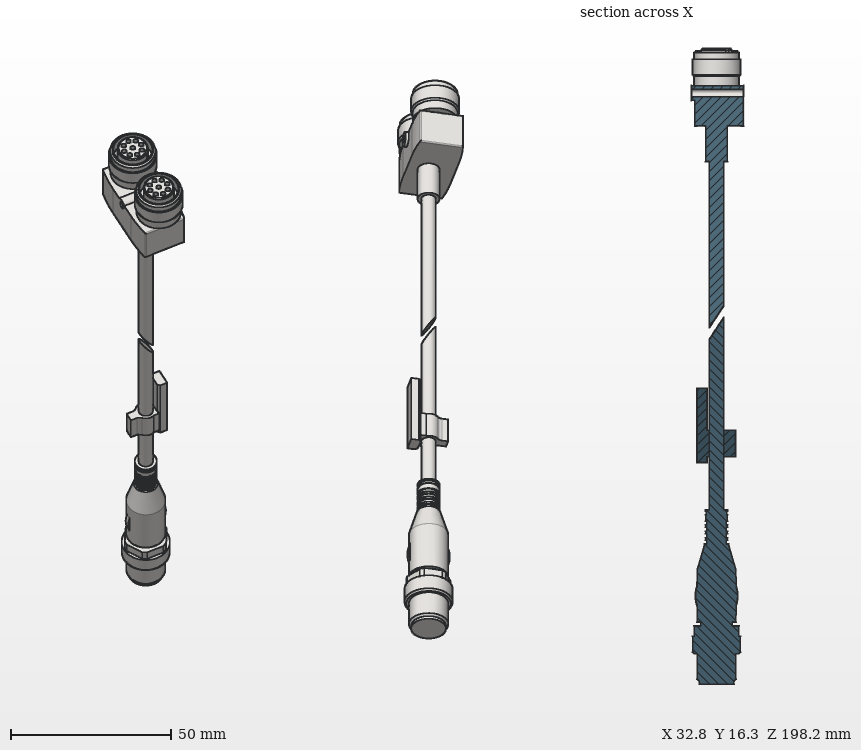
import cadquery as cq
import math

CABLE_D = 4.5
CUT_RISE = 7.0
CUT_GAP = 3.5
LOWER_CUT_MID_Z = 111.0

TOP_Z = 198.2
BLOCK_L = 29.3
BLOCK_BOTTOM_Z = 174.0
BLOCK_TOP_Z = 186.0
BLOCK_FLAT_L = 12.5
BLOCK_BOW = 0.8
BLOCK_END_FILLET = 0.4
COLLAR_D = 7.0
COLLAR_L = 11.1
BOSS_D = 4.8
BOSS_HOLE_D = 2.2
BOSS_Z = 184.3

SOCKET_PITCH = 17.8
NUT_D = 14.0
NUT_RING_D = 15.0
NUT_BORE_D = 12.0
NUT_BOTTOM_Z = 186.5
NUT_TOP_Z = 197.5
NUT_CHAMFER = 0.5
RING_BOTTOM_Z = 189.5
RING_TOP_Z = 194.8
RECESS_DEPTH = 4.0
INSERT_D = 9.5
INSERT_CHAMFER = 0.4
CONTACT_D = 1.5
CONTACT_CIRCLE_D = 6.0
CONTACT_COUNT = 8
CONTACT_DEPTH = 3.0
KEYWAY_D = 1.2

SPLITTER_DEPTH = 16.3
FRONT_OVERHANG = 0.9
BOSS_STANDOUT = 1.0
BLOCK_FRONT_Y = -(NUT_RING_D / 2 + FRONT_OVERHANG)
BOSS_BACK_Y = BLOCK_FRONT_Y + SPLITTER_DEPTH
BLOCK_BACK_Y = BOSS_BACK_Y - BOSS_STANDOUT

NOSE_D = 11.0
NOSE_L = 1.0
SLEEVE_D = 12.3
SLEEVE_CHAMFER = (SLEEVE_D - NOSE_D) / 2
PLUG_RING_D = 15.0
PLUG_RING_BOTTOM_Z = 9.5
PLUG_RING_TOP_Z = 15.0
PLUG_RING_CHAMFER = 0.5
HEX_FLATS = 12.9
HEX_CORNER_D = 14.0
HEX_TOP_Z = 18.2
NECK_D = 10.1
BODY_D = 12.3
BODY_BOTTOM_Z = 19.5
BODY_TOP_Z = 35.7
CONE_TOP_D = 7.5
CONE_TOP_Z = 43.8
RELIEF_D = 7.0
RELIEF_TOP_Z = 54.5
GROOVE_D = 6.1
GROOVE_W = 1.2
GROOVE_PITCH = 2.0
GROOVE_COUNT = 4
BAND_D = 6.5
BAND_BOTTOM_Z = 53.0
BAND_TOP_Z = 54.0
RIDGE_W = 1.8
RIDGE_BOTTOM_Z = 24.2
RIDGE_TOP_Z = 31.1
RIDGE_HEIGHT = 0.5
RIDGE_SINK = 0.2

PLATE_W = 5.4
PLATE_BACK_Y = 6.1
PLATE_FRONT_Y = 3.0
PLATE_CHAMFER = 0.8
PLATE_BOTTOM_Z = 69.2
PLATE_TOP_Z = 92.4
CLIP_RING_D = 6.5
CLIP_BOTTOM_Z = 71.0
CLIP_TOP_Z = 79.3
CLIP_NECK_W = 6.0
CLIP_NECK_BACK_Y = 3.2
TAB_W = 3.0
TAB_FRONT_Y = -6.0
TAB_FILLET = 2.0


def cylinder(diameter, bottom_z, top_z):
    return cq.Workplane("XY", origin=(0, 0, bottom_z)).circle(diameter / 2).extrude(top_z - bottom_z)


def box(width, front_y, back_y, bottom_z, top_z):
    return (
        cq.Workplane("XY", origin=(0, (front_y + back_y) / 2, bottom_z))
        .rect(width, back_y - front_y)
        .extrude(top_z - bottom_z)
    )


def turned(profile):
    """Solid of revolution about Z from (radius, z) points; the axis closes the outline."""
    return cq.Workplane("XZ").polyline(profile).close().revolve(360, (0, 0, 0), (0, 1, 0))


def cable_above_cut(mid_z, top_z):
    """Cable from a slanted cut, which falls toward +Y and crosses the axis at mid_z, up to top_z."""
    reach = CABLE_D
    keep = (
        cq.Workplane("YZ")
        .polyline([(-reach, mid_z + CUT_RISE), (reach, mid_z - CUT_RISE), (reach, top_z), (-reach, top_z)])
        .close()
        .extrude(reach, both=True)
    )
    return cylinder(CABLE_D, mid_z - CUT_RISE, top_z).intersect(keep)


def splitter_block():
    half_l = BLOCK_L / 2
    half_flat = BLOCK_FLAT_L / 2
    run = half_l - half_flat
    radius = (run**2 + BLOCK_BOW**2) / (2 * BLOCK_BOW)
    mid_run = run / 2
    mid_drop = radius - math.sqrt(radius**2 - mid_run**2)
    mid_x = half_flat + mid_run
    front_end_y = BLOCK_FRONT_Y + BLOCK_BOW
    back_end_y = BLOCK_BACK_Y - BLOCK_BOW
    block = (
        cq.Workplane("XY", origin=(0, 0, BLOCK_BOTTOM_Z))
        .moveTo(-half_flat, BLOCK_FRONT_Y)
        .lineTo(half_flat, BLOCK_FRONT_Y)
        .threePointArc((mid_x, BLOCK_FRONT_Y + mid_drop), (half_l, front_end_y))
        .lineTo(half_l, back_end_y)
        .threePointArc((mid_x, BLOCK_BACK_Y - mid_drop), (half_flat, BLOCK_BACK_Y))
        .lineTo(-half_flat, BLOCK_BACK_Y)
        .threePointArc((-mid_x, BLOCK_BACK_Y - mid_drop), (-half_l, back_end_y))
        .lineTo(-half_l, front_end_y)
        .threePointArc((-mid_x, BLOCK_FRONT_Y + mid_drop), (-half_flat, BLOCK_FRONT_Y))
        .close()
        .extrude(BLOCK_TOP_Z - BLOCK_BOTTOM_Z)
    )
    return block.faces("<X or >X").edges().fillet(BLOCK_END_FILLET)


def boss_cylinder(diameter):
    return (
        cq.Workplane("XZ", origin=(0, BOSS_BACK_Y, BOSS_Z))
        .circle(diameter / 2)
        .extrude(BOSS_BACK_Y - BLOCK_FRONT_Y)
    )


def socket():
    """One socket, centred on the Z axis, with its keyway on the (+X, +Y) side."""
    nut_r = NUT_D / 2
    ring_r = NUT_RING_D / 2
    nut = turned([
        (0, NUT_BOTTOM_Z),
        (nut_r, NUT_BOTTOM_Z),
        (nut_r, RING_BOTTOM_Z),
        (ring_r, RING_BOTTOM_Z + NUT_CHAMFER),
        (ring_r, RING_TOP_Z),
        (nut_r, RING_TOP_Z),
        (nut_r, NUT_TOP_Z - NUT_CHAMFER),
        (nut_r - NUT_CHAMFER, NUT_TOP_Z),
        (0, NUT_TOP_Z),
    ])
    recess_z = NUT_TOP_Z - RECESS_DEPTH
    contact_holes = (
        cq.Workplane("XY", origin=(0, 0, TOP_Z))
        .polarArray(CONTACT_CIRCLE_D / 2, 0, 360, CONTACT_COUNT)
        .circle(CONTACT_D / 2)
        .extrude(-CONTACT_DEPTH)
    )
    centre_hole = cylinder(CONTACT_D, TOP_Z - CONTACT_DEPTH, TOP_Z)
    keyway_place = INSERT_D / 2 * math.sqrt(0.5)
    keyway = cylinder(KEYWAY_D, recess_z, TOP_Z).translate((keyway_place, keyway_place, 0))
    insert = cylinder(INSERT_D, recess_z, TOP_Z).faces(">Z").chamfer(INSERT_CHAMFER)
    insert = insert.cut(contact_holes).cut(centre_hole).cut(keyway)
    neck = cylinder(INSERT_D, BLOCK_TOP_Z, NUT_BOTTOM_Z)
    return nut.cut(cylinder(NUT_BORE_D, recess_z, NUT_TOP_Z)).union(insert).union(neck)


def make_splitter():
    body = splitter_block()
    body = body.union(boss_cylinder(BOSS_D)).cut(boss_cylinder(BOSS_HOLE_D))
    left = socket().translate((-SOCKET_PITCH / 2, 0, 0))
    right = socket().rotate((0, 0, 0), (0, 0, 1), 180).translate((SOCKET_PITCH / 2, 0, 0))
    body = body.union(left).union(right)
    collar_bottom_z = BLOCK_BOTTOM_Z - COLLAR_L
    body = body.union(cylinder(COLLAR_D, collar_bottom_z, BLOCK_BOTTOM_Z))
    return body.union(cable_above_cut(LOWER_CUT_MID_Z + CUT_GAP, collar_bottom_z))


def hex_nut():
    hexagon = (
        cq.Workplane("XY", origin=(0, 0, PLUG_RING_TOP_Z))
        .polygon(6, HEX_FLATS, circumscribed=True)
        .extrude(HEX_TOP_Z - PLUG_RING_TOP_Z)
    )
    return hexagon.intersect(cylinder(HEX_CORNER_D, PLUG_RING_TOP_Z, HEX_TOP_Z))


def grip_ridges():
    """Domed ridges on the front and back of the plug body."""
    crest_y = BODY_D / 2 + RIDGE_HEIGHT
    foot_y = BODY_D / 2 - RIDGE_SINK
    mid_z = (RIDGE_BOTTOM_Z + RIDGE_TOP_Z) / 2
    domes = (
        cq.Workplane("YZ")
        .moveTo(-foot_y, RIDGE_BOTTOM_Z)
        .threePointArc((-crest_y, mid_z), (-foot_y, RIDGE_TOP_Z))
        .lineTo(foot_y, RIDGE_TOP_Z)
        .threePointArc((crest_y, mid_z), (foot_y, RIDGE_BOTTOM_Z))
        .close()
        .extrude(RIDGE_W / 2, both=True)
    )
    half_w = RIDGE_W / 2
    outline = (
        cq.Workplane("XZ")
        .moveTo(-half_w, RIDGE_TOP_Z)
        .lineTo(half_w, RIDGE_TOP_Z)
        .lineTo(half_w, RIDGE_BOTTOM_Z + half_w)
        .threePointArc((0, RIDGE_BOTTOM_Z), (-half_w, RIDGE_BOTTOM_Z + half_w))
        .close()
        .extrude(crest_y, both=True)
    )
    return domes.intersect(outline)


def relief_grooves():
    ring = cylinder(RELIEF_D, CONE_TOP_Z, CONE_TOP_Z + GROOVE_W).cut(
        cylinder(GROOVE_D, CONE_TOP_Z, CONE_TOP_Z + GROOVE_W)
    )
    grooves = ring
    for i in range(1, GROOVE_COUNT):
        grooves = grooves.union(ring.translate((0, 0, i * GROOVE_PITCH)))
    return grooves


def make_plug():
    sleeve_r = SLEEVE_D / 2
    ring_r = PLUG_RING_D / 2
    sleeve = turned([
        (0, 0),
        (NOSE_D / 2, 0),
        (NOSE_D / 2, NOSE_L),
        (sleeve_r, NOSE_L + SLEEVE_CHAMFER),
        (sleeve_r, PLUG_RING_BOTTOM_Z),
        (ring_r - PLUG_RING_CHAMFER, PLUG_RING_BOTTOM_Z),
        (ring_r, PLUG_RING_BOTTOM_Z + PLUG_RING_CHAMFER),
        (ring_r, PLUG_RING_TOP_Z),
        (0, PLUG_RING_TOP_Z),
    ])
    grip = turned([
        (0, HEX_TOP_Z),
        (NECK_D / 2, HEX_TOP_Z),
        (NECK_D / 2, BODY_BOTTOM_Z),
        (BODY_D / 2, BODY_BOTTOM_Z),
        (BODY_D / 2, BODY_TOP_Z),
        (CONE_TOP_D / 2, CONE_TOP_Z),
        (RELIEF_D / 2, CONE_TOP_Z),
        (RELIEF_D / 2, BAND_BOTTOM_Z),
        (BAND_D / 2, BAND_BOTTOM_Z),
        (BAND_D / 2, BAND_TOP_Z),
        (RELIEF_D / 2, BAND_TOP_Z),
        (RELIEF_D / 2, RELIEF_TOP_Z),
        (0, RELIEF_TOP_Z),
    ])
    grip = grip.cut(relief_grooves()).union(grip_ridges())
    above_cable = LOWER_CUT_MID_Z + 2 * CUT_RISE
    cable = cylinder(CABLE_D, RELIEF_TOP_Z, above_cable)
    cable = cable.cut(cable_above_cut(LOWER_CUT_MID_Z, above_cable))
    return sleeve.union(hex_nut()).union(grip).union(cable)


def make_label_clip():
    plate = box(PLATE_W, PLATE_FRONT_Y, PLATE_BACK_Y, PLATE_BOTTOM_Z, PLATE_TOP_Z)
    plate = plate.faces("<Y").edges("|Z").chamfer(PLATE_CHAMFER)
    ring = cylinder(CLIP_RING_D, CLIP_BOTTOM_Z, CLIP_TOP_Z)
    neck = box(CLIP_NECK_W, 0, CLIP_NECK_BACK_Y, CLIP_BOTTOM_Z, CLIP_TOP_Z)
    tab = box(TAB_W, TAB_FRONT_Y, 0, CLIP_BOTTOM_Z, CLIP_TOP_Z)
    cable_hole = cylinder(CABLE_D, PLATE_BOTTOM_Z, PLATE_TOP_Z)
    half_w = TAB_W / 2
    corner_y = -math.sqrt((CLIP_RING_D / 2) ** 2 - half_w**2)
    mid_z = (CLIP_BOTTOM_Z + CLIP_TOP_Z) / 2
    clasp = ring.union(tab)
    for corner_x in (-half_w, half_w):
        corner = cq.selectors.NearestToPointSelector((corner_x, corner_y, mid_z))
        clasp = clasp.edges("|Z").edges(corner).fillet(TAB_FILLET)
    return plate.union(clasp).union(neck).cut(cable_hole)


splitter = make_splitter()
plug = make_plug()
label_clip = make_label_clip()

result = cq.Compound.makeCompound([body.solids().val() for body in (splitter, plug, label_clip)])